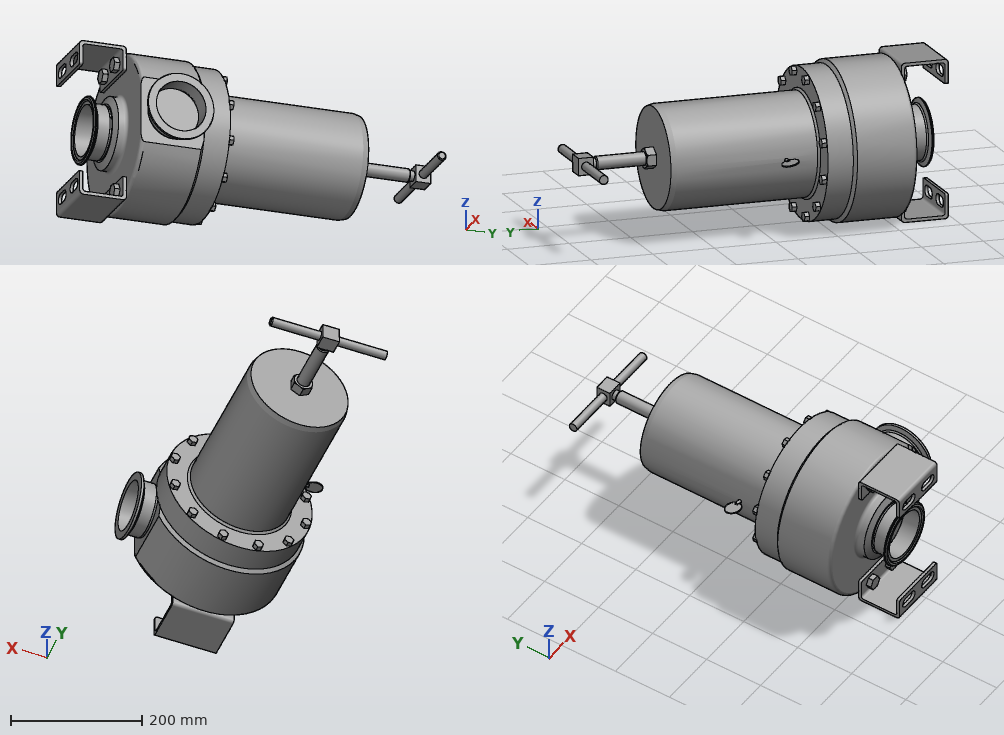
import cadquery as cq
import math


body_radius = 126.0
body_length = 98.0
body_round = 6.0
body_taper_length = 4.5
flat_x = 114.0
flange_radius = 120.0
flange_start = body_length + body_taper_length
flange_end = 143.5
tube_radius = 82.5
weld_size = 3.5
tube_end = 384.0
cap_taper_length = 9.5
cap_taper_depth = 2.5

hub_radius = 57.5
hub_fillet = 6.0
hub_shoulder = 15.0
hub_tip_radius = 45.0
hub_length = 20.5

ferrule_length = 32.0
pipe_radius = 43.5
neck_radius = 42.0
neck_length = 3.5
bore_radius = 40.5
rim_radius = 53.5
rim_thickness = 4.0
rim_slope_length = 3.0
rim_root_radius = 45.5
rim_root_length = 2.5
outlet_y = 53.5

seal_height = 2.5
seal_inner_radius = 45.5
seal_outer_radius = 53.0
seal_chamfer = 2.0

flange_bolt_count = 12
flange_bolt_circle = 112.0
flange_bolt_flats = 13.5
flange_bolt_height = 7.5
flange_bolt_turn = 15

bracket_width = 101.5
bracket_depth = 76.0
bracket_span = 252.5
bracket_leg = 39.0
bracket_sheet = 5.0
bracket_bend = 6.0
bracket_inner_bend = 4.5
bracket_corner = 3.5
slot_length = 33.0
slot_width = 17.0
slot_spacing = 51.0
slot_z = 104.0
bracket_bolt_flats = 20.5
bracket_bolt_height = 9.0

nut_flats = 29.5
nut_turn = 30
nut_end = 399.0
nut_chamfer = 2.0
spindle_radius = 10.5
spindle_end = 479.0
spindle_chamfer = 2.0
spindle_neck_radius = 8.0
block_end = 510.0
block_length = 24.0
block_side = 27.5
bar_radius = 7.0
bar_length = 190.5
bar_chamfer = 2.0

tag_x = -101.0
tag_y = 197.5
tag_radius = 13.5
tag_thickness = 2.0
tag_tilt = 13
pin_radius = 3.0
pin_end_x = -92.0


def turned(outline):
    """Revolve an outline given in (radius, y) about the Y axis."""
    return outline.close().revolve(360, (0, 0, 0), (0, 1, 0))


def cylinder(radius, start, length):
    """Cylinder along +Y."""
    return cq.Workplane("XZ", origin=(0, start, 0)).circle(radius).extrude(-length)


def hexagon_corners(flats):
    """Size across the corners of a hexagon with the given size across its flats."""
    return flats / math.cos(math.pi / 6)


def hexagon(x, z, start, length, flats, turn):
    """Hexagonal prism along +Y with one corner turned from +X by the given angle."""
    prism = cq.Workplane("XZ").polygon(6, hexagon_corners(flats)).extrude(-length)
    return prism.rotate((0, 0, 0), (0, 1, 0), turn).translate((x, start, z))


def housing():
    """Body with its flat side, bolted flange and tapered tube, all solid."""
    body = turned(
        cq.Workplane("XY")
        .lineTo(body_radius - body_round, 0)
        .radiusArc((body_radius, body_round), -body_round)
        .lineTo(body_radius, body_length)
        .lineTo(flange_radius, flange_start)
        .lineTo(0, flange_start)
    )
    beyond_flat = (
        cq.Workplane("XY")
        .box(body_radius, flange_start, 2 * body_radius, centered=(False, False, True))
        .translate((flat_x, 0, 0))
    )
    body = body.cut(beyond_flat)
    upper = turned(
        cq.Workplane("XY")
        .moveTo(0, flange_start)
        .lineTo(flange_radius, flange_start)
        .lineTo(flange_radius, flange_end)
        .lineTo(tube_radius + weld_size, flange_end)
        .lineTo(tube_radius, flange_end + weld_size)
        .lineTo(tube_radius, tube_end - cap_taper_length)
        .lineTo(tube_radius - cap_taper_depth, tube_end)
        .lineTo(0, tube_end)
    )
    return body.union(upper)


def hub():
    """Stepped boss on the front face of the body."""
    return turned(
        cq.Workplane("XY")
        .lineTo(hub_radius + hub_fillet, 0)
        .radiusArc((hub_radius, -hub_fillet), -hub_fillet)
        .lineTo(hub_radius, -hub_shoulder)
        .lineTo(hub_tip_radius, -hub_length)
        .lineTo(0, -hub_length)
    )


def ferrule():
    """Clamp ferrule standing on the XZ plane and pointing along -Y, before it is bored."""
    slope_start = rim_thickness + rim_slope_length - ferrule_length
    return turned(
        cq.Workplane("XY")
        .lineTo(neck_radius, 0)
        .lineTo(pipe_radius, -neck_length)
        .lineTo(pipe_radius, slope_start + rim_root_length)
        .lineTo(rim_root_radius, slope_start)
        .lineTo(rim_radius, rim_thickness - ferrule_length)
        .lineTo(rim_radius, -ferrule_length)
        .lineTo(0, -ferrule_length)
    )


def tube_ring(inner_radius, outer_radius, start, length):
    """Ring around the Y axis."""
    return cylinder(outer_radius, start, length).cut(cylinder(inner_radius, start, length))


def inlet():
    """Ferrule with a blind bore, its face cut back to leave the raised sealing ring."""
    tip = -ferrule_length
    face_layer = cylinder(rim_radius, tip, seal_height)
    seal = tube_ring(seal_inner_radius, seal_outer_radius, tip, seal_height)
    seal = seal.faces("<Y").edges().chamfer(seal_chamfer)
    bore = cylinder(bore_radius, tip, ferrule_length)
    piece = ferrule().cut(face_layer).union(seal).cut(bore)
    return piece.translate((0, -hub_length, 0))


def outlet():
    """Ferrule with a bore as deep as itself, pointing along +X from the flat."""
    bored = ferrule().cut(cylinder(bore_radius, -ferrule_length, ferrule_length))
    return bored.rotate((0, 0, 0), (0, 0, 1), 90).translate((flat_x, outlet_y, 0))


def flange_bolts():
    """Ring of hexagonal bolt heads on the flange."""
    bolts = cq.Workplane("XY")
    pitch = 360 / flange_bolt_count
    for index in range(flange_bolt_count):
        angle = math.radians((index + 0.5) * pitch)
        x = flange_bolt_circle * math.cos(angle)
        z = flange_bolt_circle * math.sin(angle)
        bolts = bolts.union(hexagon(x, z, flange_end, flange_bolt_height, flange_bolt_flats, flange_bolt_turn))
    return bolts


def bracket():
    """Upper C-shaped bracket with a slotted outer leg and two bolt heads on its inner leg."""
    bottom = bracket_span / 2 - bracket_leg
    channel = (
        cq.Workplane("XY")
        .box(bracket_width, bracket_depth, bracket_leg, centered=(True, False, False))
        .translate((0, -bracket_depth, bottom))
        .edges("|X and >Z")
        .fillet(bracket_bend)
    )
    inside = (
        cq.Workplane("XY")
        .box(bracket_width, bracket_depth - 2 * bracket_sheet, bracket_leg, centered=(True, False, False))
        .translate((0, bracket_sheet - bracket_depth, bottom - bracket_sheet))
        .edges("|X and >Z")
        .fillet(bracket_inner_bend)
    )
    slots = (
        cq.Workplane("XZ")
        .pushPoints([(-slot_spacing / 2, slot_z), (slot_spacing / 2, slot_z)])
        .slot2D(slot_length, slot_width)
        .extrude(bracket_sheet)
        .translate((0, bracket_sheet - bracket_depth, 0))
    )
    channel = channel.cut(inside).edges("|Y and <Z").fillet(bracket_corner).cut(slots)
    bolt_length = bracket_sheet + bracket_bolt_height
    for x in (-slot_spacing / 2, slot_spacing / 2):
        head = hexagon(x, slot_z, -bolt_length, bracket_bolt_height, bracket_bolt_flats, 0)
        channel = channel.union(head)
    return channel


def spindle():
    """Nut on the tube end, chamfered rod and the thinner neck that enters the handle block."""
    nut_length = nut_end - tube_end
    nut_corner_radius = hexagon_corners(nut_flats) / 2
    nut = hexagon(0, 0, tube_end, nut_length, nut_flats, nut_turn)
    nut = nut.intersect(cylinder(nut_corner_radius, tube_end, nut_length).faces(">Y").chamfer(nut_chamfer))
    rod = cylinder(spindle_radius, tube_end, spindle_end - tube_end).faces(">Y").chamfer(spindle_chamfer)
    neck = cylinder(spindle_neck_radius, tube_end, block_end - tube_end)
    return nut.union(rod).union(neck)


def handle():
    """Square block with a cross bar."""
    block_y = block_end - block_length / 2
    block = cq.Workplane("XY").box(block_side, block_length, block_side)
    bar = cq.Workplane("YZ").circle(bar_radius).extrude(bar_length / 2, both=True)
    bar = bar.faces(">X").chamfer(bar_chamfer)
    return block.union(bar).translate((0, block_y, 0))


def tag():
    """Thin tilted disc held by a pin that enters the tube."""
    disc = cq.Workplane("XY").circle(tag_radius).extrude(tag_thickness / 2, both=True)
    disc = disc.rotate((0, 0, 0), (1, 0, 0), -tag_tilt).translate((tag_x, tag_y, 0))
    pin_length = -pin_end_x - tube_radius / 2
    pin = cq.Workplane("YZ", origin=(pin_end_x, tag_y, 0)).circle(pin_radius).extrude(pin_length)
    return disc.union(pin)


upper_bracket = bracket()
result = housing()
for piece in (
    hub(),
    inlet(),
    outlet(),
    flange_bolts(),
    upper_bracket,
    upper_bracket.mirror("XY"),
    spindle(),
    handle(),
    tag(),
):
    result = result.union(piece)